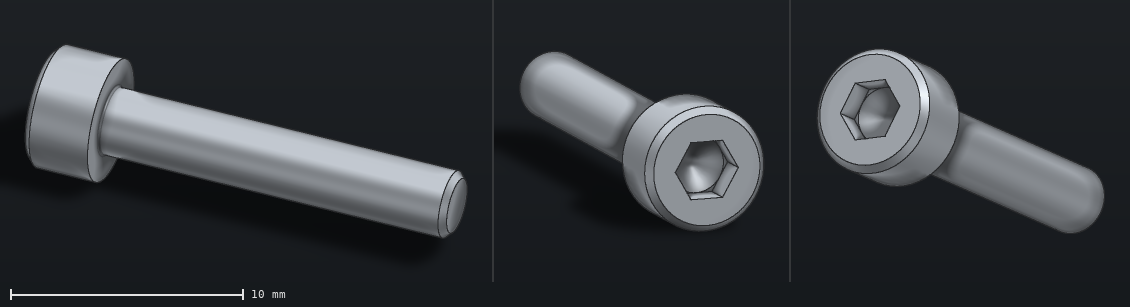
import cadquery as cq
import math

total_length = 19.0
head_diameter = 5.5
head_height = 3.0
head_chamfer = 0.3
shank_diameter = 3.0
tip_chamfer = 0.28
neck_fillet = 0.1

socket_sides = 6
socket_across_flats = 2.5
socket_depth = 1.3
socket_cone_angle = 120.0


def make_body():
    """Head and shank as one profile turned about the X axis, head face at X = 0."""
    head_radius = head_diameter / 2
    shank_radius = shank_diameter / 2
    fillet_sag = neck_fillet * (1 - math.sqrt(0.5))
    profile = (
        cq.Workplane("XY")
        .lineTo(0, head_radius - head_chamfer)
        .lineTo(head_chamfer, head_radius)
        .lineTo(head_height, head_radius)
        .lineTo(head_height, shank_radius + neck_fillet)
        .threePointArc(
            (head_height + fillet_sag, shank_radius + fillet_sag),
            (head_height + neck_fillet, shank_radius),
        )
        .lineTo(total_length - tip_chamfer, shank_radius)
        .lineTo(total_length, shank_radius - tip_chamfer)
        .lineTo(total_length, 0)
        .close()
    )
    return profile.revolve(360, (0, 0, 0), (1, 0, 0))


def make_socket():
    """Hexagonal hole with flats facing +Z and -Z, ending in a drilled cone."""
    across_corners = socket_across_flats / math.cos(math.pi / socket_sides)
    hexagon = cq.Workplane("YZ").polygon(socket_sides, across_corners).extrude(socket_depth)
    cone_radius = socket_across_flats / 2
    cone_depth = cone_radius / math.tan(math.radians(socket_cone_angle / 2))
    cone = cq.Solid.makeCone(
        cone_radius, 0, cone_depth, cq.Vector(socket_depth, 0, 0), cq.Vector(1, 0, 0)
    )
    return hexagon.union(cq.Workplane(cone))


result = make_body().cut(make_socket())